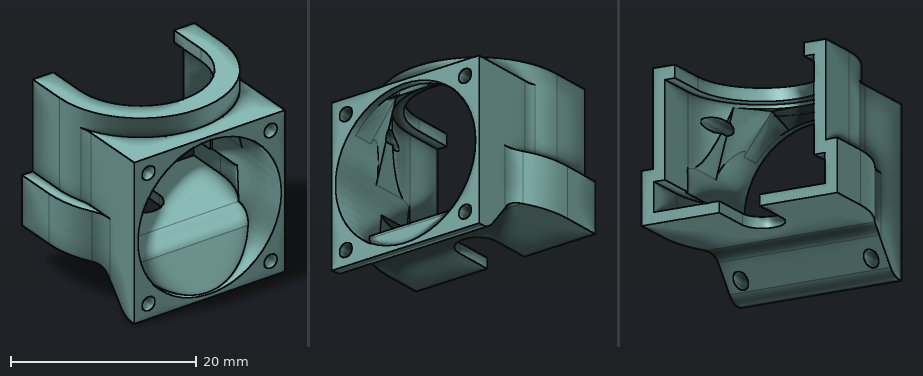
import cadquery as cq
import math

length = 17.9
total_height = 22.4
arch_x = 5.0

block_size = 20.0
block_half = block_size / 2
bore_radius = 9.5
screw_diameter = 1.7
screw_spacing = 16.2

lower_radius = 12.15
upper_radius = 10.75
lower_cavity_radius = 10.6
upper_cavity_radius = 9.24
opening_radius = 8.0
slot_radius = 2.5
blend_radius = 5.0

body_bottom = 4.75
floor_thickness = 1.31
floor_top = body_bottom + floor_thickness
ledge_z = 9.5
step_z = 11.0
ceiling_z = 20.85

slope_start_x = 11.05
slope_angle = math.radians(50)
slope_radius = 2.5
duct_top = 20.4
duct_back_half_width = 4.0
bore_land = 0.97


def round_ended(radius, bottom, top):
    """U-shaped plan, open end at X = 0, extruded between two levels."""
    return (
        cq.Workplane("XY", origin=(0, 0, bottom))
        .moveTo(0, -radius)
        .lineTo(arch_x, -radius)
        .threePointArc((arch_x + radius, 0), (arch_x, radius))
        .lineTo(0, radius)
        .close()
        .extrude(top - bottom)
    )


def blended_body(radius, bottom, top):
    """Round-ended body joined to the block by tangent concave blends."""
    center_y = block_half + blend_radius
    reach = math.sqrt((radius + blend_radius) ** 2 - center_y**2)
    share = radius / (radius + blend_radius)
    touch = (arch_x + reach * share, center_y * share)
    end_x = arch_x + reach
    mid_angle = (math.atan2(-center_y, -reach) - math.pi / 2) / 2
    mid = (end_x + blend_radius * math.cos(mid_angle), center_y + blend_radius * math.sin(mid_angle))
    shoulder = radius * math.sin(math.atan2(center_y, reach) / 2 + math.pi / 4)
    shoulder_x = arch_x + math.sqrt(radius**2 - shoulder**2)
    return (
        cq.Workplane("XY", origin=(0, 0, bottom))
        .moveTo(0, -radius)
        .lineTo(arch_x, -radius)
        .threePointArc((shoulder_x, -shoulder), (touch[0], -touch[1]))
        .threePointArc((mid[0], -mid[1]), (end_x, -block_half))
        .lineTo(length, -block_half)
        .lineTo(length, block_half)
        .lineTo(end_x, block_half)
        .threePointArc(mid, touch)
        .threePointArc((shoulder_x, shoulder), (arch_x, radius))
        .lineTo(0, radius)
        .close()
        .extrude(top - bottom)
    )


def on_slope_arc(radius, angle):
    """Point on the bend between the level floor and the slope, angle from vertical."""
    center_z = body_bottom - slope_radius
    return (slope_start_x + radius * math.sin(angle), center_z + radius * math.cos(angle))


def above_underside():
    """Everything above the sloping underside of the part."""
    drop = body_bottom - 2 * slope_radius * (1 - math.cos(slope_angle))
    toe_x = slope_start_x + 2 * slope_radius * math.sin(slope_angle) + drop / math.tan(slope_angle)

    def on_toe(angle):
        return (toe_x - slope_radius * math.sin(angle), slope_radius * (1 - math.cos(angle)))

    return (
        cq.Workplane("XZ")
        .moveTo(0, body_bottom)
        .lineTo(slope_start_x, body_bottom)
        .threePointArc(on_slope_arc(slope_radius, slope_angle / 2), on_slope_arc(slope_radius, slope_angle))
        .lineTo(*on_toe(slope_angle))
        .threePointArc(on_toe(slope_angle / 2), (toe_x, 0))
        .lineTo(length, 0)
        .lineTo(length, total_height)
        .lineTo(0, total_height)
        .close()
        .extrude(lower_radius, both=True)
    )


def above_floor():
    """Everything above the floor, which bends down parallel to the underside."""
    radius = slope_radius + floor_thickness
    bend_end = on_slope_arc(radius, slope_angle)
    end_z = bend_end[1] - (length - bend_end[0]) * math.tan(slope_angle)
    return (
        cq.Workplane("XZ")
        .moveTo(0, floor_top)
        .lineTo(slope_start_x, floor_top)
        .threePointArc(on_slope_arc(radius, slope_angle / 2), bend_end)
        .lineTo(length, end_z)
        .lineTo(length, total_height)
        .lineTo(0, total_height)
        .close()
        .extrude(lower_radius, both=True)
    )


def duct():
    """Overlapping pieces of the air passage, flat-topped in the cavity and round at the block."""
    corner_y = math.sqrt(upper_cavity_radius**2 - (slope_start_x - arch_x) ** 2)
    corner_z = duct_top - block_half

    def on_bore(angle):
        return (bore_radius * math.cos(angle), bore_radius * math.sin(angle))

    def tangent_angle(half_width):
        lean = math.acos(bore_radius / math.hypot(half_width, corner_z))
        return math.atan2(corner_z, half_width) - lean

    def flat_topped(x, half_width):
        side_y, side_z = on_bore(tangent_angle(half_width))
        return (
            cq.Workplane("YZ", origin=(x, 0, block_half))
            .moveTo(side_y, side_z)
            .lineTo(half_width, corner_z)
            .lineTo(-half_width, corner_z)
            .lineTo(-side_y, side_z)
            .threePointArc((0, -bore_radius), (side_y, side_z))
            .close()
        )

    side_angle = tangent_angle(duct_back_half_width)
    corner_angle = math.atan2(corner_z, duct_back_half_width)
    side_y, side_z = on_bore(side_angle)
    top_y, top_z = on_bore(corner_angle)
    mid_y, mid_z = on_bore((side_angle + corner_angle) / 2)
    bore_start = length - bore_land
    bore_outline = (
        cq.Workplane("YZ", origin=(bore_start, 0, block_half))
        .moveTo(side_y, side_z)
        .threePointArc((mid_y, mid_z), (top_y, top_z))
        .threePointArc((0, bore_radius), (-top_y, top_z))
        .threePointArc((-mid_y, mid_z), (-side_y, side_z))
        .threePointArc((0, -bore_radius), (side_y, side_z))
        .close()
    )
    bore = cq.Workplane("YZ", origin=(arch_x, 0, block_half)).circle(bore_radius).extrude(length - arch_x)

    inlet = flat_topped(arch_x, corner_y).extrude(slope_start_x - arch_x)
    front = flat_topped(slope_start_x, corner_y).val()
    back = flat_topped(arch_x + upper_cavity_radius, duct_back_half_width).val()
    narrowing = cq.Workplane(cq.Solid.makeLoft([front, back], True))
    blend = cq.Workplane(cq.Solid.makeLoft([back, bore_outline.val()], True))
    return [shape.intersect(above_floor()) for shape in (bore, inlet, narrowing, blend)]


outside = (
    blended_body(lower_radius, 0, step_z)
    .union(blended_body(upper_radius, step_z, block_size))
    .union(round_ended(upper_radius, step_z, total_height))
    .intersect(above_underside())
)

hollow = (
    outside.cut(round_ended(lower_cavity_radius, floor_top, ledge_z))
    .cut(round_ended(upper_cavity_radius, ledge_z, ceiling_z))
    .cut(round_ended(opening_radius, ceiling_z, total_height))
    .cut(round_ended(slot_radius, body_bottom, floor_top))
)
for passage in duct():
    hollow = hollow.cut(passage)

screw_holes = (
    cq.Workplane("YZ", origin=(arch_x, 0, block_half))
    .rect(screw_spacing, screw_spacing, forConstruction=True)
    .vertices()
    .circle(screw_diameter / 2)
    .extrude(length - arch_x)
)

result = hollow.cut(screw_holes)